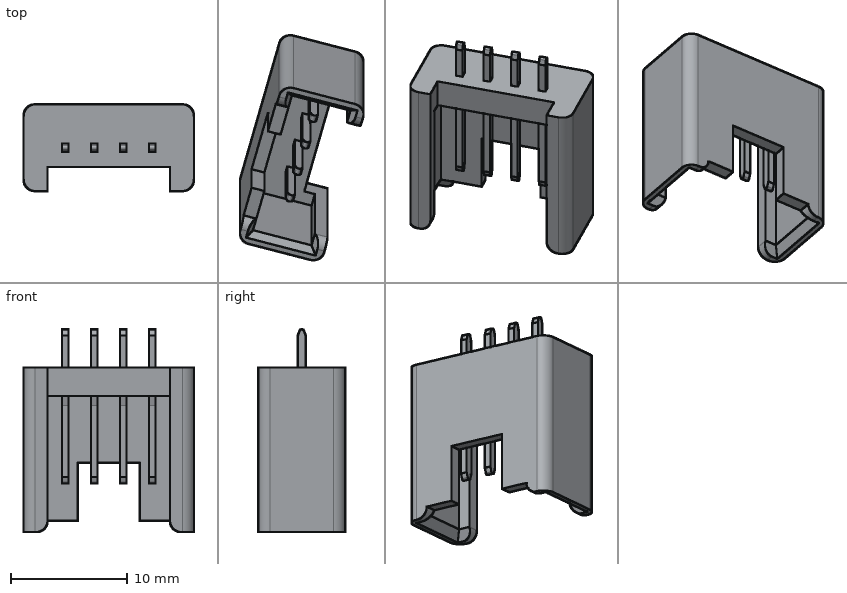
import cadquery as cq

width = 14.7
depth = 7.5
total_height = 17.5
body_height = 14.21
corner_radius = 1.0
side_wall = 1.0
lip_thickness = 1.14
back_wall = 1.14
roof_thickness = 2.48

mouth_width = 10.54
roof_setback = 2.08
bottom_relief = 0.98
bottom_radius = 0.98
lead_in = 0.49
notch_width = 5.32
notch_height = 5.98

pin_count = 4
pin_pitch = 2.5
pin_width = 0.6
pin_depth = 0.7
pin_bottom = 4.2
tip_length = 0.56
tip_width = 0.4
tip_crown = 0.12
shoulder_height = 0.8
shoulder_depth = 0.2

front_y = -depth / 2
back_y = depth / 2
roof_z = body_height - roof_thickness


def block(x_size, y_start, y_end, z_start, z_end):
    """Box centred on X, between the given Y and Z limits."""
    return cq.Workplane("XY").box(
        x_size, y_end - y_start, z_end - z_start, centered=(True, False, False)
    ).translate((0, y_start, z_start))


def make_housing():
    body = block(width, front_y, back_y, 0, body_height).edges("|Z").fillet(corner_radius)
    cavity_back = back_y - back_wall
    cavity = block(width - 2 * side_wall, front_y + lip_thickness, cavity_back, 0, roof_z)
    mouth = block(mouth_width, front_y, front_y + roof_setback, 0, body_height)
    lower_mouth = block(mouth_width, front_y, cavity_back, 0, roof_z)
    notch = block(notch_width, cavity_back, back_y, 0, notch_height)
    return body.cut(cavity).cut(mouth).cut(lower_mouth).cut(notch)


def make_bottom_relief():
    """Cut along Y that shortens the back wall and rounds the lower inner edges."""
    half_mouth = mouth_width / 2
    half_base = half_mouth + bottom_radius
    profile = (
        cq.Workplane("XZ", origin=(0, back_y, 0))
        .moveTo(-half_base, 0)
        .radiusArc((-half_mouth, bottom_relief), -bottom_radius)
        .lineTo(half_mouth, bottom_relief)
        .radiusArc((half_base, 0), -bottom_radius)
        .close()
    )
    return profile.extrude(depth)


def make_lead_in():
    """Tapered cut that widens the cavity towards its open bottom."""
    cavity_width = width - 2 * side_wall
    cavity_depth = depth - lip_thickness - back_wall
    cavity_center = (lip_thickness - back_wall) / 2
    return (
        cq.Workplane("XY")
        .center(0, cavity_center)
        .rect(cavity_width + 2 * lead_in, cavity_depth + 2 * lead_in)
        .workplane(offset=bottom_relief)
        .rect(cavity_width, cavity_depth)
        .loft(ruled=True)
    )


def make_pin(x_center):
    """Pin with two tapered, round-ended tips and a sloped front shoulder under the roof."""
    half = pin_depth / 2
    half_tip = tip_width / 2
    low = pin_bottom + tip_length
    high = total_height - tip_length
    return (
        cq.Workplane("YZ", origin=(x_center - pin_width / 2, 0, 0))
        .moveTo(half_tip, pin_bottom + tip_crown)
        .lineTo(half, low)
        .lineTo(half, high)
        .lineTo(half_tip, total_height - tip_crown)
        .threePointArc((0, total_height), (-half_tip, total_height - tip_crown))
        .lineTo(-half, high)
        .lineTo(-half, roof_z)
        .lineTo(-half - shoulder_depth, roof_z)
        .lineTo(-half, roof_z - shoulder_height)
        .lineTo(-half, low)
        .lineTo(-half_tip, pin_bottom + tip_crown)
        .threePointArc((0, pin_bottom), (half_tip, pin_bottom + tip_crown))
        .close()
        .extrude(pin_width)
    )


result = make_housing().cut(make_bottom_relief()).cut(make_lead_in())
for index in range(pin_count):
    pin_x = (index - (pin_count - 1) / 2) * pin_pitch
    result = result.union(make_pin(pin_x))